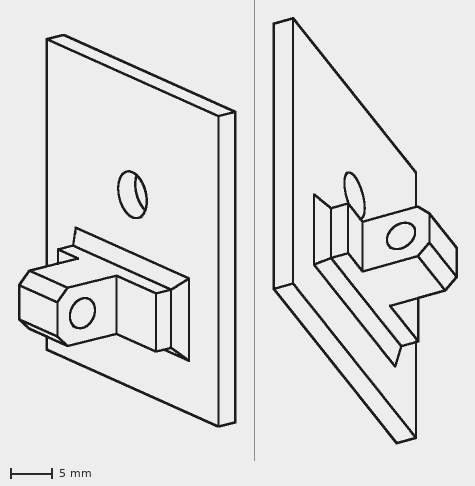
import cadquery as cq

plate_width = 35.0
plate_height = 40.0
plate_thickness = 2.6
plate_hole_diameter = 5.8
plate_hole_height = 24.9

block_width = 20.0
block_height = 7.5
block_depth = 2.3
block_center_height = 12.1
flare = 1.55

lug_width = 7.8
lug_center_x = -1.95
lug_chamfer = 1.55
lug_hole_diameter = 3.8
lug_hole_to_tip = 3.8
overall_depth = 15.4

plate_front = -plate_thickness
flare_front = plate_front - flare
block_front = flare_front - block_depth
lug_tip = -overall_depth


def box_between(width, height, back_y, front_y, center_x, center_z):
    """Box spanning back_y to front_y, centred at center_x and center_z."""
    depth = back_y - front_y
    center = (center_x, (back_y + front_y) / 2, center_z)
    return cq.Workplane("XY").box(width, depth, height).translate(center)


def make_plate():
    """Rectangular plate with one through hole."""
    plate = box_between(plate_width, plate_height, 0, plate_front, 0, plate_height / 2)
    hole = (
        cq.Workplane("XZ")
        .center(0, plate_hole_height)
        .circle(plate_hole_diameter / 2)
        .extrude(plate_thickness)
    )
    return plate.cut(hole)


def make_block():
    """Block whose foot widens at 45 degrees on all four sides."""
    foot = (
        box_between(
            block_width + 2 * flare,
            block_height + 2 * flare,
            0,
            flare_front,
            0,
            block_center_height,
        )
        .faces("<Y")
        .chamfer(flare)
    )
    block = box_between(block_width, block_height, flare_front, block_front, 0, block_center_height)
    return foot.union(block)


def make_lug():
    """Lug with chamfered top and bottom tip edges and a hole along X."""
    lug = (
        box_between(lug_width, block_height, flare_front, lug_tip, lug_center_x, block_center_height)
        .faces("<Y")
        .edges("|X")
        .chamfer(lug_chamfer)
    )
    hole = (
        cq.Workplane("YZ", origin=(lug_center_x, 0, 0))
        .center(lug_tip + lug_hole_to_tip, block_center_height)
        .circle(lug_hole_diameter / 2)
        .extrude(lug_width / 2, both=True)
    )
    return lug.cut(hole)


result = make_plate().union(make_block()).union(make_lug())